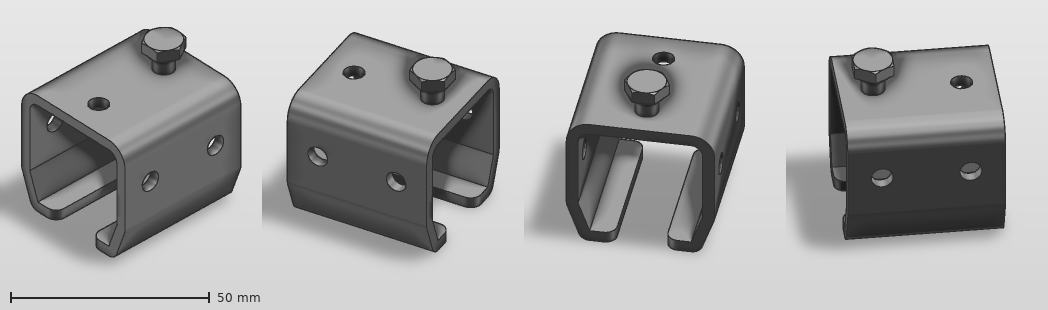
import cadquery as cq
import math

width = 38.0
length = 40.0
bracket_height = 36.0
thickness = 3.0
top_inner_radius = 3.0
wall_bottom_z = 11.2
lean_inset = 2.95
slot_width = 13.0
lip_corner_radius = 3.0

hole_y = 11.25
side_hole_z = 21.95
side_hole_diameter = 5.6
top_hole_diameter = 5.5

total_height = 45.0
head_across_flats = 10.0
head_height = 3.35
head_chamfer_angle = 30.0
collar_diameter = 9.1
collar_height = 0.68
shank_diameter = 6.0
shank_length = 10.0
tip_chamfer = 0.9

half_width = width / 2
inner_half_width = half_width - thickness
inner_top_z = bracket_height - thickness
top_outer_radius = top_inner_radius + thickness
lip_bend_x = inner_half_width - lean_inset
lean_angle = math.atan2(lean_inset, wall_bottom_z - thickness)
head_bottom_z = total_height - head_height
collar_bottom_z = head_bottom_z - collar_height
bolt_bottom_z = collar_bottom_z - shank_length


def bend_point(center, angle):
    """Point on the outer face of a bend around an inner corner, angle measured below the X axis."""
    return (center[0] + thickness * math.cos(angle), center[1] - thickness * math.sin(angle))


def make_half_channel():
    """The +X half of the channel; the lower bends have sharp inner corners and round outer ones."""
    upper_bend = (inner_half_width, wall_bottom_z)
    lower_bend = (lip_bend_x, thickness)
    lip_bend_middle = (lean_angle + math.pi / 2) / 2
    half = (
        cq.Workplane("XZ", origin=(0, length / 2, 0))
        .moveTo(0, bracket_height)
        .lineTo(half_width - top_outer_radius, bracket_height)
        .radiusArc((half_width, bracket_height - top_outer_radius), top_outer_radius)
        .lineTo(half_width, wall_bottom_z)
        .threePointArc(bend_point(upper_bend, lean_angle / 2), bend_point(upper_bend, lean_angle))
        .lineTo(*bend_point(lower_bend, lean_angle))
        .threePointArc(bend_point(lower_bend, lip_bend_middle), (lip_bend_x, 0))
        .lineTo(slot_width / 2, 0)
        .lineTo(slot_width / 2, thickness)
        .lineTo(*lower_bend)
        .lineTo(*upper_bend)
        .lineTo(inner_half_width, inner_top_z - top_inner_radius)
        .radiusArc((inner_half_width - top_inner_radius, inner_top_z), -top_inner_radius)
        .lineTo(0, inner_top_z)
        .close()
        .extrude(length)
    )
    lip_corners = cq.selectors.BoxSelector(
        (0, -length, -thickness), (slot_width / 2 + thickness / 2, length, 2 * thickness)
    )
    return half.edges("|Z").edges(lip_corners).fillet(lip_corner_radius)


def make_bracket():
    half = make_half_channel()
    channel = half.union(half.mirror("YZ"))
    side_holes = (
        cq.Workplane("YZ")
        .pushPoints([(-hole_y, side_hole_z), (hole_y, side_hole_z)])
        .circle(side_hole_diameter / 2)
        .extrude(half_width, both=True)
    )
    top_plane = cq.Workplane("XY", origin=(0, 0, inner_top_z))
    open_hole = top_plane.center(0, -hole_y).circle(top_hole_diameter / 2).extrude(thickness)
    bolt_hole = top_plane.center(0, hole_y).circle(shank_diameter / 2).extrude(thickness)
    return channel.cut(side_holes).cut(open_hole).cut(bolt_hole)


def make_bolt_head():
    """Hexagon with two corners along X, its top corners cut back by a cone."""
    across_corners = head_across_flats / math.cos(math.pi / 6)
    hexagon = cq.Workplane("XY").polygon(6, across_corners).extrude(head_height)
    chamfer_width = (across_corners - head_across_flats) / 2
    chamfer_depth = chamfer_width * math.tan(math.radians(head_chamfer_angle))
    envelope = (
        cq.Workplane("XY")
        .circle(across_corners / 2)
        .extrude(head_height)
        .faces(">Z")
        .chamfer(chamfer_depth, chamfer_width)
    )
    return hexagon.intersect(envelope).translate((0, hole_y, head_bottom_z))


def make_bolt():
    collar = (
        cq.Workplane("XY", origin=(0, hole_y, collar_bottom_z))
        .circle(collar_diameter / 2)
        .extrude(collar_height)
    )
    shank = (
        cq.Workplane("XY", origin=(0, hole_y, bolt_bottom_z))
        .circle(shank_diameter / 2)
        .extrude(shank_length)
        .faces("<Z")
        .chamfer(tip_chamfer)
    )
    return make_bolt_head().union(collar).union(shank)


bracket = make_bracket()
bolt = make_bolt()
result = cq.Compound.makeCompound([bracket.val(), bolt.val()])